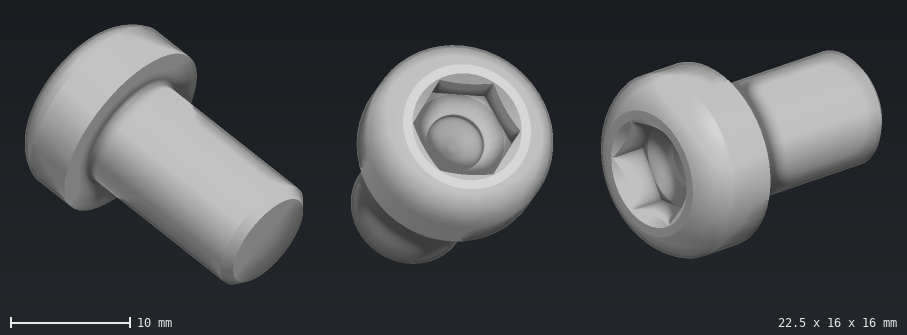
import cadquery as cq
import math

total_length = 22.5
head_diameter = 16.0
head_height = 6.5
dome_height = 2.5
face_diameter = 11.0
dome_radius = 4.0
shank_diameter = 10.0
tip_chamfer = 0.76
neck_fillet = 0.4

hex_sides = 6
hex_width = 8.0
hex_depth = 3.5
mouth_diameter = 9.4
mouth_angle = 45.0

pilot_diameter = 5.0
pilot_depth = 5.0
seat_angle = 30.0
point_angle = 30.0

head_radius = head_diameter / 2
face_radius = face_diameter / 2
shank_radius = shank_diameter / 2
mouth_radius = mouth_diameter / 2
hex_inner_radius = hex_width / 2
pilot_radius = pilot_diameter / 2


def drop(radius, angle):
    """Axial height of a cone with the given base radius and slope."""
    return radius * math.tan(math.radians(angle))


def cone(start, radius, angle):
    """Cone on the X axis with its base at start, pointing toward +X."""
    outline = [(start, 0), (start, radius), (start + drop(radius, angle), 0)]
    return cq.Workplane("XY").polyline(outline).close().revolve(360, (0, 0), (1, 0))


def make_body():
    """Revolved domed head and shank, with neck fillet and chamfered tip."""
    chord_x = dome_height
    chord_y = head_radius - face_radius
    chord = math.hypot(chord_x, chord_y)
    bulge = dome_radius - math.sqrt(dome_radius**2 - (chord / 2) ** 2)
    dome_middle = (
        chord_x / 2 - bulge * chord_y / chord,
        face_radius + chord_y / 2 + bulge * chord_x / chord,
    )
    fillet_inset = neck_fillet * (1 - math.sqrt(0.5))
    return (
        cq.Workplane("XY")
        .lineTo(0, face_radius)
        .threePointArc(dome_middle, (dome_height, head_radius))
        .lineTo(head_height, head_radius)
        .lineTo(head_height, shank_radius + neck_fillet)
        .threePointArc(
            (head_height + fillet_inset, shank_radius + fillet_inset),
            (head_height + neck_fillet, shank_radius),
        )
        .lineTo(total_length - tip_chamfer, shank_radius)
        .lineTo(total_length, shank_radius - tip_chamfer)
        .lineTo(total_length, 0)
        .close()
        .revolve(360, (0, 0), (1, 0))
    )


def make_socket():
    """Hexagon socket with beveled mouth, conical seat and pilot hole."""
    hex_corner_diameter = hex_width / math.cos(math.pi / hex_sides)
    hexagon = cq.Workplane("YZ").polygon(hex_sides, hex_corner_diameter).extrude(hex_depth)
    mouth = cone(0, mouth_radius, mouth_angle)
    seat = cone(hex_depth, hex_inner_radius, seat_angle)
    pilot = cq.Workplane("YZ").circle(pilot_radius).extrude(pilot_depth)
    pilot_point = cone(pilot_depth, pilot_radius, point_angle)
    return hexagon.union(mouth).union(seat).union(pilot).union(pilot_point)


result = make_body().cut(make_socket())